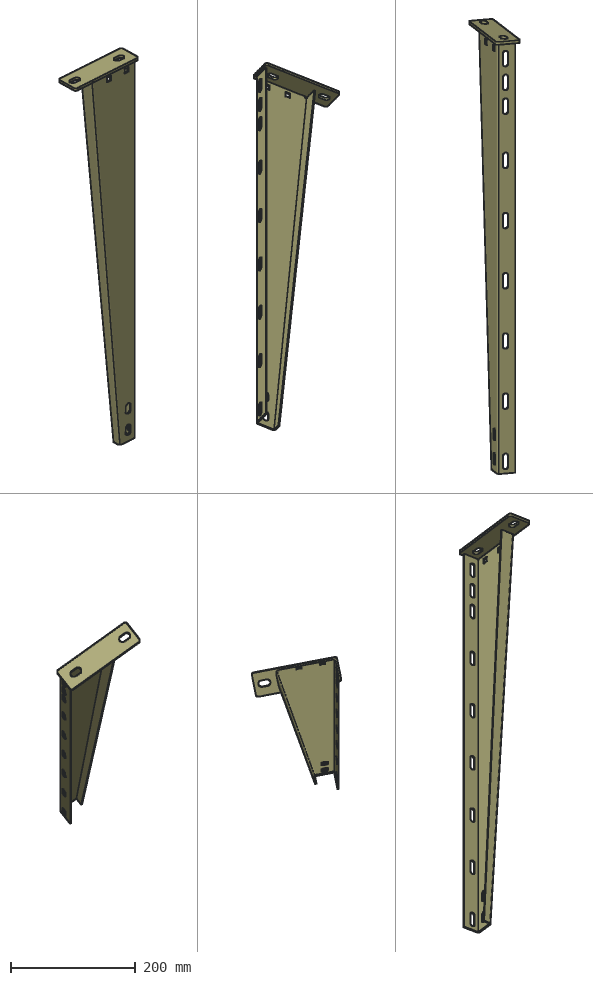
import cadquery as cq
import math

TOP_Z = 720.0
PLATE_WIDTH = 40.0
PLATE_LENGTH = 140.0
PLATE_THICKNESS = 5.0
PLATE_CORNER_RADIUS = 3.5
PLATE_SLOT_WIDTH = 11.0
PLATE_SLOT_LENGTH = 19.5
PLATE_SLOT_REAR_INSET = 24.5
PLATE_SLOT_SPACING = 98.0

SHEET_THICKNESS = 2.5
BEND_RADIUS = 5.0
ARM_WIDTH = 30.0
ARM_OFFSET_X = 2.0
ARM_REAR_INSET = 3.0
DEPTH_TOP = 98.0
DEPTH_BOTTOM = 36.0
FRONT_FLANGE_TOP = 25.0
FRONT_FLANGE_BOTTOM = 15.0
FRONT_FLANGE_TOP_GAP = 1.5

SQUARE_SIZE = 9.0
SQUARE_REAR_INSET = 21.0
SQUARE_SPACING = 39.0
SQUARE_DROP = 16.0
WEB_SLOT_WIDTH = 11.5
WEB_SLOT_LENGTH = 19.5
WEB_SLOT_REAR_INSET = 17.0
WEB_SLOT_SPACING = 40.0
LOWEST_WEB_SLOT_RISE = 21.5

FLANGE_SLOT_WIDTH = 9.0
FLANGE_SLOT_LENGTH = 26.0
LOWEST_FLANGE_SLOT_RISE = 20.0
FLANGE_SLOT_X = 3.5
FLANGE_SLOT_PITCH = 100.0
FLANGE_SLOT_PITCHED_COUNT = 6
FLANGE_SLOT_UPPER_GAP = 90.0
FLANGE_SLOT_TOP_PITCH = 39.5
FLANGE_SLOT_TOP_COUNT = 3

PLATE_BOTTOM_Z = TOP_Z - PLATE_THICKNESS
WEB_OUTER_X = ARM_OFFSET_X + ARM_WIDTH / 2
FLANGE_TIP_X = WEB_OUTER_X - ARM_WIDTH
BEND_X = WEB_OUTER_X - BEND_RADIUS
PLATE_REAR_Y = PLATE_LENGTH / 2
REAR_Y = PLATE_REAR_Y - ARM_REAR_INSET

SLANT = math.atan((DEPTH_TOP - DEPTH_BOTTOM) / PLATE_BOTTOM_Z)
FOOT_Z = BEND_RADIUS * math.sin(SLANT)
ARM_HEIGHT = PLATE_BOTTOM_Z - FOOT_Z
FRONT_LENGTH = ARM_HEIGHT / math.cos(SLANT) - FRONT_FLANGE_TOP_GAP
FRONT_BEND_INSET = BEND_RADIUS * math.cos(SLANT)
FRONT_BOTTOM_Y = REAR_Y - DEPTH_BOTTOM
FRONT_TOP_Y = FRONT_BOTTOM_Y - ARM_HEIGHT * math.tan(SLANT)


def bend(plane, inward, length):
    """Corner from flange to web, round outside and sharp inside; inward is +1 or -1 along local Y."""
    arc_reach = BEND_RADIUS * math.sqrt(0.5)
    return (
        cq.Workplane(plane)
        .moveTo(BEND_X, 0)
        .threePointArc(
            (BEND_X + arc_reach, inward * (BEND_RADIUS - arc_reach)),
            (WEB_OUTER_X, inward * BEND_RADIUS),
        )
        .lineTo(WEB_OUTER_X - SHEET_THICKNESS, inward * BEND_RADIUS)
        .lineTo(WEB_OUTER_X - SHEET_THICKNESS, inward * SHEET_THICKNESS)
        .lineTo(BEND_X, inward * SHEET_THICKNESS)
        .close()
        .extrude(length)
    )


def rear_flange():
    flange = (
        cq.Workplane("XY", origin=(0, REAR_Y, FOOT_Z))
        .moveTo(FLANGE_TIP_X, 0)
        .lineTo(BEND_X, 0)
        .lineTo(BEND_X, -SHEET_THICKNESS)
        .lineTo(FLANGE_TIP_X, -SHEET_THICKNESS)
        .close()
        .extrude(ARM_HEIGHT)
    )
    return flange.union(bend(cq.Plane((0, REAR_Y, FOOT_Z)), -1, ARM_HEIGHT))


def web():
    return (
        cq.Workplane("YZ", origin=(WEB_OUTER_X, 0, 0))
        .moveTo(REAR_Y - BEND_RADIUS, FOOT_Z)
        .lineTo(REAR_Y - BEND_RADIUS, PLATE_BOTTOM_Z)
        .lineTo(FRONT_TOP_Y + FRONT_BEND_INSET, PLATE_BOTTOM_Z)
        .lineTo(FRONT_BOTTOM_Y + FRONT_BEND_INSET, FOOT_Z)
        .close()
        .extrude(-SHEET_THICKNESS)
    )


def front_flange():
    """Flange along the slanted web edge; it narrows toward the foot and stops just short of the plate."""
    foot = (0, FRONT_BOTTOM_Y, 0)
    slant_up = (0, -math.sin(SLANT), math.cos(SLANT))
    outward = (0, -math.cos(SLANT), -math.sin(SLANT))
    flange = (
        cq.Workplane(cq.Plane(foot, (1, 0, 0), outward))
        .moveTo(BEND_X, 0)
        .lineTo(BEND_X, FRONT_LENGTH)
        .lineTo(WEB_OUTER_X - FRONT_FLANGE_TOP, FRONT_LENGTH)
        .lineTo(WEB_OUTER_X - FRONT_FLANGE_BOTTOM, 0)
        .close()
        .extrude(-SHEET_THICKNESS)
    )
    return flange.union(bend(cq.Plane(foot, (1, 0, 0), slant_up), 1, FRONT_LENGTH))


def square_holes():
    """Two square holes through the web, under the plate."""
    first_y = REAR_Y - SQUARE_REAR_INSET
    return (
        cq.Workplane("YZ", origin=(WEB_OUTER_X, 0, TOP_Z - SQUARE_DROP))
        .pushPoints([(first_y, 0), (first_y - SQUARE_SPACING, 0)])
        .rect(SQUARE_SIZE, SQUARE_SIZE)
        .extrude(-SHEET_THICKNESS)
    )


def web_slots():
    """Two upright slots through the web, near the foot."""
    lowest_slot = (WEB_OUTER_X, REAR_Y - WEB_SLOT_REAR_INSET, FOOT_Z + LOWEST_WEB_SLOT_RISE)
    return (
        cq.Workplane("YZ", origin=lowest_slot)
        .pushPoints([(0, 0), (0, WEB_SLOT_SPACING)])
        .slot2D(WEB_SLOT_LENGTH, WEB_SLOT_WIDTH, 90)
        .extrude(-SHEET_THICKNESS)
    )


def rear_flange_slots():
    """Column of upright slots: evenly pitched from the foot, closer together at the top."""
    heights = [LOWEST_FLANGE_SLOT_RISE + i * FLANGE_SLOT_PITCH for i in range(FLANGE_SLOT_PITCHED_COUNT)]
    top_start = heights[-1] + FLANGE_SLOT_UPPER_GAP
    heights += [top_start + i * FLANGE_SLOT_TOP_PITCH for i in range(FLANGE_SLOT_TOP_COUNT)]
    return (
        cq.Workplane("XZ", origin=(FLANGE_SLOT_X, REAR_Y, FOOT_Z))
        .pushPoints([(0, height) for height in heights])
        .slot2D(FLANGE_SLOT_LENGTH, FLANGE_SLOT_WIDTH, 90)
        .extrude(SHEET_THICKNESS)
    )


def make_arm():
    sheet = web().union(rear_flange()).union(front_flange())
    return sheet.cut(square_holes()).cut(web_slots()).cut(rear_flange_slots())


def make_plate():
    rear_slot_y = PLATE_REAR_Y - PLATE_SLOT_REAR_INSET
    slots = (
        cq.Workplane("XY", origin=(0, 0, PLATE_BOTTOM_Z))
        .pushPoints([(0, rear_slot_y), (0, rear_slot_y - PLATE_SLOT_SPACING)])
        .slot2D(PLATE_SLOT_LENGTH, PLATE_SLOT_WIDTH, 90)
        .extrude(PLATE_THICKNESS)
    )
    plate = (
        cq.Workplane("XY", origin=(0, 0, PLATE_BOTTOM_Z))
        .rect(PLATE_WIDTH, PLATE_LENGTH)
        .extrude(PLATE_THICKNESS)
        .edges("|Z")
        .fillet(PLATE_CORNER_RADIUS)
    )
    return plate.cut(slots)


arm = make_arm()
plate = make_plate()
result = cq.Compound.makeCompound([arm.solids().val(), plate.solids().val()])